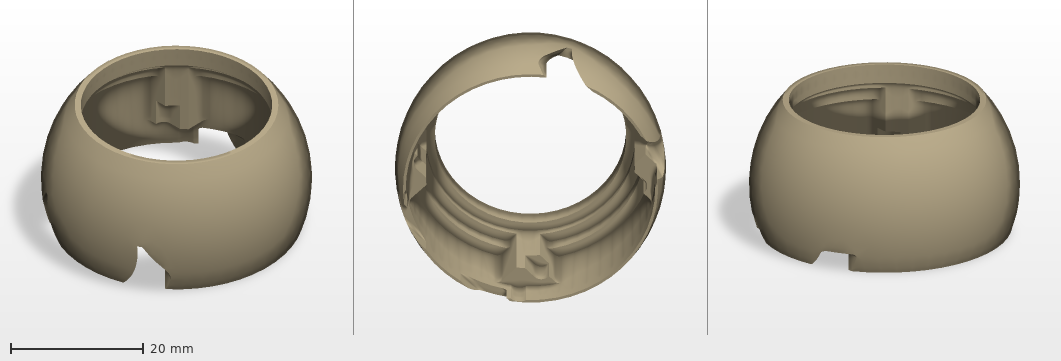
import cadquery as cq
import math

ball_radius = 20.5
top_z = 13.5
bottom_z = -6.95

mouth_radius = 14.45
neck_top_z = 10.53
neck_bottom_z = 9.2
upper_bore_radius = 17.3
lower_bore_radius = 18.85
bore_step_z = 6.8

boss_quadrants = [(1, 1), (-1, 1), (1, -1)]
boss_tip_radius = 15.8
boss_side_x = 9.75
boss_side_y = 10.0
boss_bottom_z = -2.25
boss_root_fillet = 1.0

pocket_x = 14.17
pocket_y = 11.65
pocket_top_z = 2.1
pocket_fillet = 1.45

recess_x = 11.05
recess_y = 13.1
recess_radius = 2.0

front_lid_y = -18.1
front_slot_back_y = -14.8
front_slot_top_z = 1.23
front_slot_top_half = 10.2
front_slot_slope = 1.38
front_slot_fillet = 1.0

rear_lid_y = 18.47
rear_slot_back_y = 15.52
rear_slot_top_z = -3.9
rear_slot_fillet = 0.5


def cylinder(radius, low_z, high_z):
    return cq.Workplane("XY").workplane(offset=low_z).circle(radius).extrude(high_z - low_z)


def block(x_range, y_range, z_range):
    sizes = [high - low for low, high in (x_range, y_range, z_range)]
    corner = (x_range[0], y_range[0], z_range[0])
    return cq.Workplane("XY").box(*sizes, centered=False).translate(corner)


def to_quadrant(shape, signs):
    """Mirror a shape drawn in the +X +Y quadrant into the quadrant with the given signs."""
    if signs[0] < 0:
        shape = shape.mirror("YZ")
    if signs[1] < 0:
        shape = shape.mirror("XZ")
    return shape


def bore_around_bosses(radius, low_z, high_z):
    """Bore length with the bosses left standing and their roots rounded into the wall."""
    boss = block((boss_side_x, ball_radius), (boss_side_y, ball_radius), (low_z, high_z))
    boss = boss.cut(cylinder(boss_tip_radius, low_z, high_z))
    bore = cylinder(radius, low_z, high_z)
    for signs in boss_quadrants:
        bore = bore.cut(to_quadrant(boss, signs))

    def is_boss_root(edge):
        middle = edge.Center()
        on_wall = math.hypot(middle.x, middle.y) > (radius + boss_tip_radius) / 2
        off_seam = abs(middle.y) > boss_side_y / 2
        return on_wall and off_seam

    return bore.edges("|Z").filter(is_boss_root).fillet(boss_root_fillet)


def make_ball():
    top_radius = math.sqrt(ball_radius**2 - top_z**2)
    bottom_radius = math.sqrt(ball_radius**2 - bottom_z**2)
    profile = (
        cq.Workplane("YZ")
        .moveTo(0, bottom_z)
        .lineTo(-bottom_radius, bottom_z)
        .threePointArc((-ball_radius, 0), (-top_radius, top_z))
        .lineTo(0, top_z)
        .close()
    )
    return profile.revolve(360, (0, 0, 0), (0, 1, 0))


def make_cavity():
    mouth = cylinder(mouth_radius, neck_top_z, top_z)
    neck = cylinder(boss_tip_radius, neck_bottom_z, neck_top_z)
    upper = bore_around_bosses(upper_bore_radius, bore_step_z, neck_bottom_z)
    lower = bore_around_bosses(lower_bore_radius, boss_bottom_z, bore_step_z)
    skirt = cylinder(lower_bore_radius, bottom_z, boss_bottom_z)
    return skirt.union(lower).union(upper).union(neck).union(mouth)


def make_boss_pocket():
    pocket = block((0, pocket_x), (0, pocket_y), (boss_bottom_z, pocket_top_z))
    pocket = pocket.edges("|Z and >X and >Y").fillet(pocket_fillet)
    return pocket.intersect(cylinder(lower_bore_radius, boss_bottom_z, pocket_top_z))


def make_wall_recess():
    depth = boss_bottom_z - bottom_z
    centre = (recess_x, recess_y, bottom_z)
    return cq.Workplane("XY").circle(recess_radius).extrude(depth).translate(centre)


def make_front_slot():
    bottom_half = front_slot_top_half + (front_slot_top_z - bottom_z) / front_slot_slope
    slot = (
        cq.Workplane("XZ", origin=(0, front_slot_back_y, 0))
        .moveTo(-bottom_half, bottom_z)
        .lineTo(-front_slot_top_half, front_slot_top_z)
        .lineTo(front_slot_top_half, front_slot_top_z)
        .lineTo(bottom_half, bottom_z)
        .close()
        .extrude(front_slot_back_y - front_lid_y)
    )
    return slot.faces(">Y").edges("not <Z").fillet(front_slot_fillet)


def make_rear_slot():
    across = (-ball_radius, ball_radius)
    slot = block(across, (rear_slot_back_y, rear_lid_y), (bottom_z, rear_slot_top_z))
    return slot.edges("|X and >Z").fillet(rear_slot_fillet)


result = make_ball()
result = result.cut(make_cavity())
for quadrant in boss_quadrants:
    result = result.cut(to_quadrant(make_boss_pocket(), quadrant))
    result = result.cut(to_quadrant(make_wall_recess(), quadrant))
result = result.cut(make_front_slot()).cut(make_rear_slot())